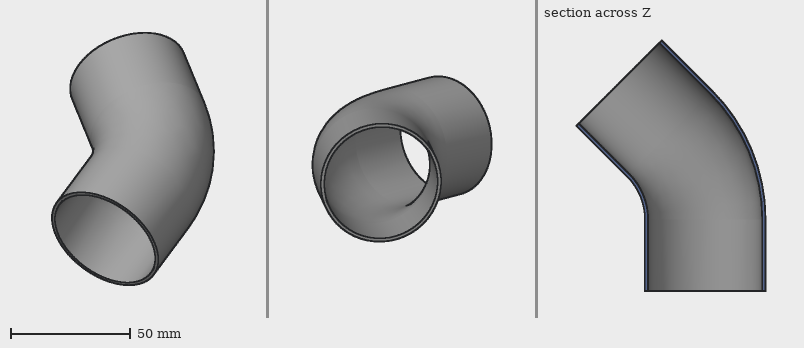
import cadquery as cq
import math

outer_diameter = 50.8
inner_diameter = 47.8
bend_radius = 51.0
bend_angle = 45.0
spigot_length = 30.0


def bend_point(angle):
    """Point on the centreline of the bend, which starts at the origin."""
    turn = math.radians(angle)
    return (bend_radius * (math.cos(turn) - 1), bend_radius * math.sin(turn))


end_direction = math.radians(bend_angle)
bend_end = bend_point(bend_angle)
outlet = (
    bend_end[0] - spigot_length * math.sin(end_direction),
    bend_end[1] + spigot_length * math.cos(end_direction),
)
centreline = (
    cq.Workplane("XY")
    .moveTo(0, -spigot_length)
    .lineTo(0, 0)
    .threePointArc(bend_point(bend_angle / 2), bend_end)
    .lineTo(*outlet)
)

result = (
    cq.Workplane("XZ", origin=(0, -spigot_length, 0))
    .circle(outer_diameter / 2)
    .circle(inner_diameter / 2)
    .sweep(centreline)
)